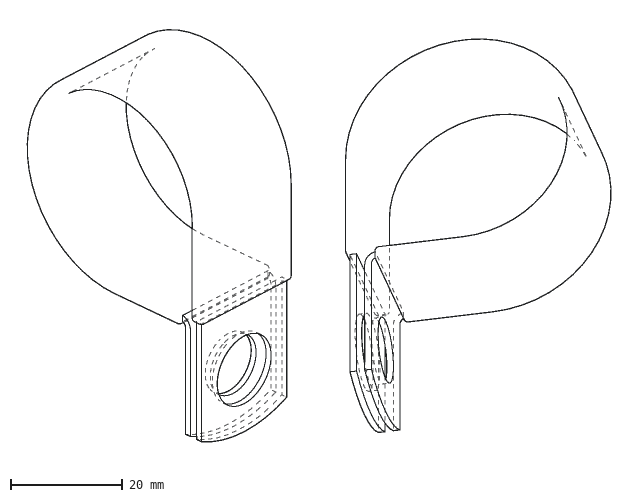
import cadquery as cq
import math

overall_height = 68.7
cushion_width = 23.8
loop_outer_diameter = 43.75
cushion_cover = 0.79
strap_thickness = 1.25
tab_gap = 1.5
bend_inner_radius = 1.2
cushion_bottom_end_x = 16.4
near_hole_diameter = 11.95
far_hole_diameter = 14.0
hole_height_above_tip = 12.85
tab_tip_rise = 2.55

cushion_outer_radius = loop_outer_diameter / 2
strap_outer_radius = cushion_outer_radius - cushion_cover
strap_inner_radius = strap_outer_radius - strap_thickness
bore_radius = strap_inner_radius - cushion_cover

strap_width = cushion_width - 2 * cushion_cover
tip_z = cushion_outer_radius - overall_height
near_tab_outer_x = strap_inner_radius - tab_gap
near_tab_inner_x = near_tab_outer_x - strap_thickness
bend_start_x = near_tab_inner_x - bend_inner_radius
bend_outer_radius = bend_inner_radius + strap_thickness
bend_center_z = -strap_outer_radius - bend_inner_radius
cushion_side_end_z = -bore_radius - cushion_cover


def loop_band(inner_radius, outer_radius, leg_x, leg_z, width):
    """Three-quarter loop with a leg along +X at the bottom and one down at the right."""
    return (
        cq.Workplane("XZ")
        .moveTo(outer_radius, leg_z)
        .lineTo(outer_radius, 0)
        .threePointArc(diagonal_point(outer_radius), (0, -outer_radius))
        .lineTo(leg_x, -outer_radius)
        .lineTo(leg_x, -inner_radius)
        .lineTo(0, -inner_radius)
        .threePointArc(diagonal_point(inner_radius), (inner_radius, 0))
        .lineTo(inner_radius, leg_z)
        .close()
        .extrude(width / 2, both=True)
    )


def diagonal_point(radius):
    """Middle of the three-quarter arc, up and to the left of the loop axis."""
    return (-radius * math.sqrt(0.5), radius * math.sqrt(0.5))


def make_cushion():
    """Rubber cushion with rounded sides and rounded leg ends."""
    band = loop_band(
        bore_radius, cushion_outer_radius, cushion_bottom_end_x, cushion_side_end_z, cushion_width
    )
    side_rims = band.faces("<Y or >Y").edges()
    bottom_leg_end = band.faces(cq.selectors.NearestToPointSelector(
        (cushion_bottom_end_x, 0, -(bore_radius + cushion_outer_radius) / 2))).edges("|Y")
    side_leg_end = band.faces(cq.selectors.NearestToPointSelector(
        ((bore_radius + cushion_outer_radius) / 2, 0, cushion_side_end_z))).edges("|Y")
    return side_rims.add(bottom_leg_end).add(side_leg_end).fillet(cushion_cover)


def make_near_tab():
    """Tab that bends down from the end of the bottom leg."""
    bend_middle = math.sqrt(0.5)
    return (
        cq.Workplane("XZ")
        .moveTo(bend_start_x, -strap_inner_radius)
        .threePointArc(
            (bend_start_x + bend_outer_radius * bend_middle,
             bend_center_z + bend_outer_radius * bend_middle),
            (near_tab_outer_x, bend_center_z),
        )
        .lineTo(near_tab_outer_x, tip_z)
        .lineTo(near_tab_inner_x, tip_z)
        .lineTo(near_tab_inner_x, bend_center_z)
        .threePointArc(
            (bend_start_x + bend_inner_radius * bend_middle,
             bend_center_z + bend_inner_radius * bend_middle),
            (bend_start_x, -strap_outer_radius),
        )
        .close()
        .extrude(strap_width / 2, both=True)
    )


def make_strap_envelope():
    """Side outline of the strap: straight edges and rounded tip."""
    half_width = strap_width / 2
    return (
        cq.Workplane("YZ")
        .moveTo(-half_width, cushion_outer_radius)
        .lineTo(-half_width, tip_z + tab_tip_rise)
        .threePointArc((0, tip_z), (half_width, tip_z + tab_tip_rise))
        .lineTo(half_width, cushion_outer_radius)
        .close()
        .extrude(cushion_outer_radius, both=True)
    )


def make_bolt_hole(diameter, start_x, end_x):
    """Hole cutter along X, centred across the tab width."""
    return (
        cq.Workplane("YZ", origin=(start_x, 0, tip_z + hole_height_above_tip))
        .circle(diameter / 2)
        .extrude(end_x - start_x)
    )


strap = loop_band(
    strap_inner_radius, strap_outer_radius, bend_start_x, tip_z, strap_width
)
strap = strap.union(make_near_tab()).intersect(make_strap_envelope())
strap = strap.cut(make_bolt_hole(near_hole_diameter, near_tab_inner_x, near_tab_outer_x))
strap = strap.cut(make_bolt_hole(far_hole_diameter, strap_inner_radius, strap_outer_radius))

result = make_cushion().union(strap)